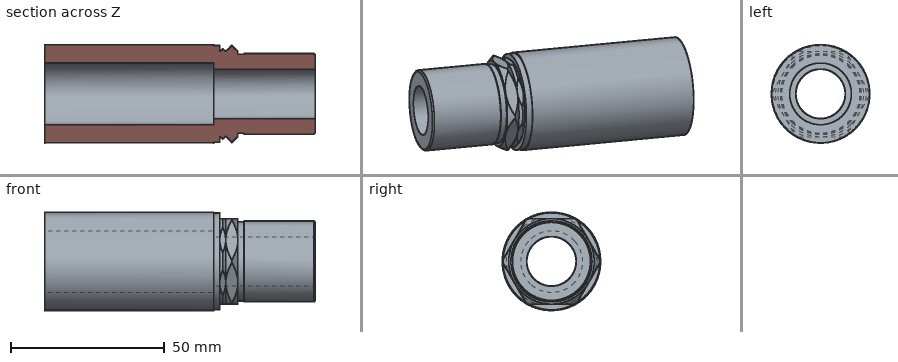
import cadquery as cq
import math

total_length = 88.0
sleeve_end = 54.9
collar_end = 56.9
washer_end = 58.9
nut_end = 62.8
neck_end = 64.7

sleeve_radius = 16.0
collar_radius = 15.75
neck_radius = 12.9
spigot_radius = 13.2
bore_radius = 8.0
socket_radius = 10.0
socket_depth = sleeve_end

shoulder_chamfer = 0.3
tip_chamfer = 0.5

hex_sides = 6
hex_apothem = 13.9
nut_ridge_radius = 15.8
washer_ridge_radius = 14.7


def cylinder(start, end, radius):
    """Solid cylinder along X between two stations."""
    return cq.Workplane("YZ", origin=(start, 0, 0)).circle(radius).extrude(end - start)


def ridged_hexagon(start, end, ridge_radius):
    """Hexagon trimmed by two cones that meet in a ridge halfway along its length."""
    hex_diameter = 2 * hex_apothem / math.cos(math.pi / hex_sides)
    prism = cq.Workplane("YZ", origin=(start, 0, 0)).polygon(hex_sides, hex_diameter).extrude(end - start)
    double_cone = (
        cq.Workplane("XY")
        .polyline([
            (start, 0),
            (start, hex_apothem),
            ((start + end) / 2, ridge_radius),
            (end, hex_apothem),
            (end, 0),
        ])
        .close()
        .revolve(360, (0, 0, 0), (1, 0, 0))
    )
    return prism.intersect(double_cone)


def spigot():
    """Round end piece, chamfered at its shoulder and at its tip."""
    plain = cylinder(neck_end, total_length, spigot_radius)
    return plain.faces("<X").chamfer(shoulder_chamfer).faces(">X").chamfer(tip_chamfer)


body = (
    cylinder(0, sleeve_end, sleeve_radius)
    .union(cylinder(sleeve_end, collar_end, collar_radius))
    .union(ridged_hexagon(collar_end, washer_end, washer_ridge_radius))
    .union(ridged_hexagon(washer_end, nut_end, nut_ridge_radius))
    .union(cylinder(nut_end, neck_end, neck_radius))
    .union(spigot())
)

bore = cylinder(0, total_length, bore_radius)
socket = cylinder(0, socket_depth, socket_radius)
result = body.cut(bore).cut(socket)